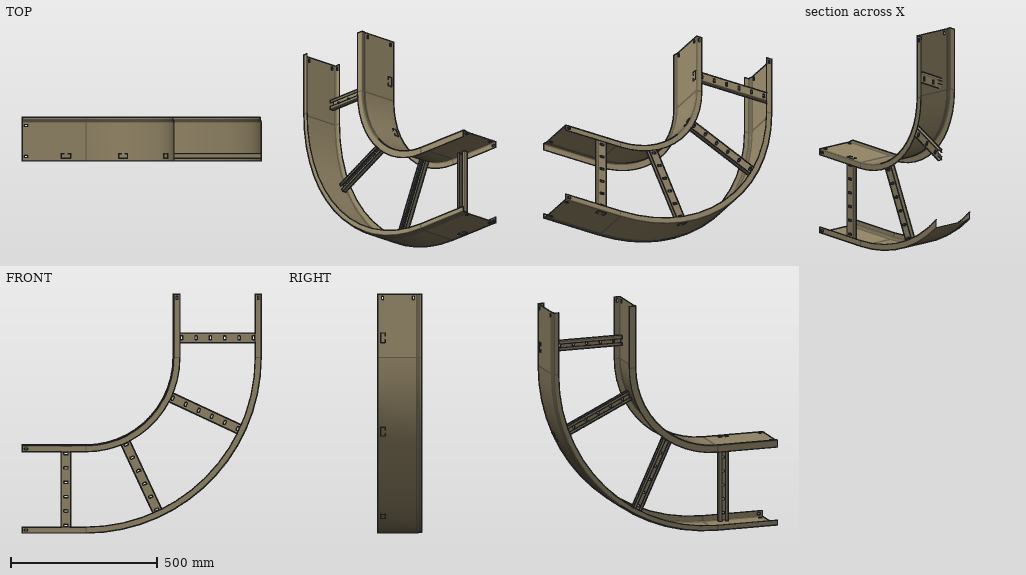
import cadquery as cq
import math

overall_size = 817.0
rail_height = 150.0
arm_length = 217.0
outer_rail_radius = overall_size - arm_length
ladder_width = 299.0
inner_rail_radius = outer_rail_radius - ladder_width
middle_radius = (inner_rail_radius + outer_rail_radius) / 2
bend_center = (arm_length, 0, outer_rail_radius)

sheet = 1.2
flange_width = 21.0
step_offset = 3.0
step_start = 16.0
step_end = 9.0
inner_bend_radius = 0.4
step_bend_radius = 4.0

end_slot_length = 12.0
end_slot_width = 6.5
end_slot_inset = 13.0
web_slot_depths = (16.0, 122.0)

rung_width = 34.0
rung_depth = 16.0
rung_front = 10.0
rung_sheet = sheet
rung_lip = 11.0
arm_rung_offset = 68.0
arc_rung_angle = 25.0

rung_slot_count = 6
rung_slot_pitch = 49.0
rung_slot_length = 15.5
rung_slot_width = 6.95


def mirror_to_other_arm(shape):
    """Swap the two arms by mirroring across the diagonal through the bend centre."""
    return shape.mirror(cq.Vector(1, 0, 1))


def round_corners(face, corners, radius):
    """Round the corners of a face that lie at the given (x, y) points."""
    vertices = [
        vertex
        for vertex in face.Vertices()
        if any(math.dist(vertex.toTuple()[:2], corner) < sheet / 10 for corner in corners)
    ]
    return face.fillet2D(radius, vertices)


def rail_profile(web_radius, inward):
    """Profile in X (radius) and Y (height); inward is +1 or -1, the way the flanges point."""
    tip = web_radius + inward * flange_width
    stepped_radius = web_radius - step_offset
    inside = inward * sheet
    outer_corners = [(web_radius, 0), (stepped_radius, rail_height)]
    inner_corners = [
        (stepped_radius + inside, rail_height - sheet),
        (web_radius + inside, sheet),
    ]
    outer_step = [
        (web_radius, rail_height - step_start),
        (stepped_radius, rail_height - step_end),
    ]
    inner_step = [(radius + inside, height) for radius, height in reversed(outer_step)]
    outline = cq.Wire.makePolygon(
        [
            cq.Vector(*point)
            for point in [
                (tip, 0),
                outer_corners[0],
                *outer_step,
                outer_corners[1],
                (tip, rail_height),
                (tip, rail_height - sheet),
                inner_corners[0],
                *inner_step,
                inner_corners[1],
                (tip, sheet),
            ]
        ],
        close=True,
    )
    face = cq.Face.makeFromWires(outline)
    face = round_corners(face, outer_corners, inner_bend_radius + sheet)
    face = round_corners(face, inner_corners, inner_bend_radius)
    return round_corners(face, outer_step + inner_step, step_bend_radius)


def rail_arm(profile, web_radius, inward):
    """Straight arm pointing up from the bend, with its end slots."""
    arm = cq.Workplane(cq.Solid.extrudeLinear(profile, cq.Vector(0, 0, arm_length)))
    slot_height = arm_length - end_slot_inset
    flange_middle = web_radius + inward * flange_width / 2
    flange_slot = (
        cq.Workplane("XZ", origin=(flange_middle, 0, slot_height))
        .slot2D(end_slot_length, end_slot_width, 90)
        .extrude(2 * sheet, both=True)
    )
    web_slots = (
        cq.Workplane("YZ", origin=(web_radius, 0, slot_height))
        .pushPoints([(depth, 0) for depth in web_slot_depths])
        .slot2D(end_slot_length, end_slot_width, 90)
        .extrude(2 * sheet, both=True)
    )
    return arm.cut(flange_slot).cut(web_slots)


def make_rail(web_radius, inward):
    """One bent rail: a quarter-circle bend with an arm at each end."""
    profile = rail_profile(web_radius, inward)
    upright_arm = rail_arm(profile, web_radius, inward)
    bend = cq.Workplane(cq.Solid.revolve(profile, 90, cq.Vector(0, 0, 0), cq.Vector(0, 1, 0)))
    level_arm = cq.Workplane(mirror_to_other_arm(upright_arm.val()))
    return bend.union(upright_arm, clean=False).union(level_arm, clean=False).val()


def rung_channel():
    """Lipped channel with a row of slots, along X on the bend's radius and longer than the gap."""
    untrimmed_length = 2 * ladder_width
    back = rung_front + rung_depth
    channel = (
        cq.Workplane("XY", origin=(middle_radius, rung_front + rung_depth / 2, 0))
        .box(untrimmed_length, rung_depth, rung_width)
        .edges("|X")
        .fillet(inner_bend_radius + rung_sheet)
        .faces("<X or >X")
        .shell(-rung_sheet)
    )
    mouth = cq.Workplane("XY", origin=(middle_radius, back, 0)).box(
        untrimmed_length, 4 * rung_sheet, rung_width - 2 * rung_lip
    )
    slots = (
        cq.Workplane("XZ", origin=(middle_radius, rung_front, 0))
        .rarray(rung_slot_pitch, 8, rung_slot_count, 1)
        .slot2D(rung_slot_length, rung_slot_width, 90)
        .extrude(2 * rung_sheet, both=True)
    )
    return channel.cut(mouth).cut(slots)


def space_between_webs():
    """Region between the facing web surfaces, on the bend and along the upright arm."""
    near = inner_rail_radius + sheet
    far = outer_rail_radius - sheet
    bend = (
        cq.Workplane("XZ")
        .circle(far)
        .circle(near)
        .extrude(-rail_height)
        .intersect(cq.Workplane("XY").box(far, rail_height, far, centered=False).mirror("XY"))
    )
    arm = cq.Workplane("XY").box(far - near, rail_height, arm_length, centered=False)
    return bend.union(arm.translate((near, 0, 0)))


def make_rungs():
    """Two rungs on the arms and two on the bend, symmetric about the diagonal."""
    channel = rung_channel()
    arm_rung = channel.translate((0, 0, arm_rung_offset))
    arc_rung = channel.rotate((0, 0, 0), (0, 1, 0), arc_rung_angle)
    rungs = []
    for rung in (arm_rung, arc_rung):
        trimmed = rung.intersect(space_between_webs()).val()
        rungs.append(trimmed)
        rungs.append(mirror_to_other_arm(trimmed))
    return rungs


inner_rail = make_rail(inner_rail_radius, 1)
outer_rail = make_rail(outer_rail_radius, -1)
bodies = [inner_rail, outer_rail, *make_rungs()]
result = cq.Compound.makeCompound([body.translate(cq.Vector(*bend_center)) for body in bodies])